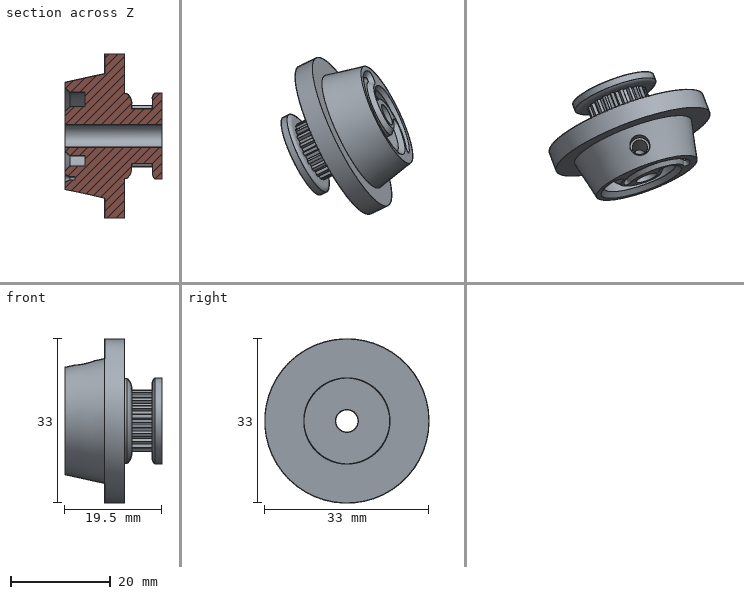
import cadquery as cq
import math

HUB_LENGTH = 8.0
FLANGE_THICKNESS = 4.0
COLLAR_LENGTH = 1.5
BELT_WIDTH = 4.05
RIM_LENGTH = 1.98
FLANGE_START = HUB_LENGTH
FLANGE_END = FLANGE_START + FLANGE_THICKNESS
COLLAR_END = FLANGE_END + COLLAR_LENGTH
BELT_END = COLLAR_END + BELT_WIDTH
RIM_END = BELT_END + RIM_LENGTH

HUB_FACE_RADIUS = 10.8
HUB_BASE_RADIUS = 12.55
FLANGE_RADIUS = 16.5
BORE_RADIUS = 4.5 / 2

COLLAR_RADIUS = 17.1 / 2
COLLAR_ROUND_WIDTH = 1.0
COLLAR_ROUND_RADIUS = 2.8
RIM_RADIUS = 17.32 / 2
RIM_ROUND_WIDTH = 0.6
RIM_ROUND_RADIUS = 1.4

TOOTH_COUNT = 20
TOOTH_TIP_RADIUS = 6.2
TOOTH_ROOT_RADIUS = 5.5
GROOVE_TIP_WIDTH = 1.32
GROOVE_ROOT_WIDTH = 0.7

SCREW_X = HUB_LENGTH / 2
SCREW_RADIUS = 3.0 / 2
SCREW_HEAD_RADIUS = 4.0 / 2
SCREW_HEAD_SEAT_Z = 10.0

AXIS = (0.0, 0.0)
POCKET_OUTER_RADIUS = 8.78
BOSS_RADIUS = 4.0
SWIRL_RADIUS = 6.5
SWIRL_OFFSET = SWIRL_RADIUS - BOSS_RADIUS
POCKET_CHAMFER_DEPTH = 1.0
LARGE_TIP_RADIUS = 0.5
LARGE_BLEND_RADIUS = 5.97
LARGE_DEPTH = 4.0
LARGE_CHAMFER_WIDTH = 1.0
CRESCENT_TURN = 130
CRESCENT_SIDE_CENTRE = (-2.6, 2.3)
CRESCENT_SIDE_RADIUS = 7.0
CRESCENT_TIP_RADIUS = 0.15
CRESCENT_BLEND_RADIUS = 5.0
CRESCENT_DEPTH = 2.0
CRESCENT_CHAMFER_WIDTH = 0.5

CCW = 1
CW = -1


def along(start, target, distance):
    """Point at the given distance from start towards target."""
    span = math.dist(start, target)
    return tuple(s + distance * (t - s) / span for s, t in zip(start, target))


def meeting_point(centre_a, distance_a, centre_b, distance_b, side):
    """Point at set distances from two centres, left (+1) or right (-1) of the line from a to b."""
    span = math.dist(centre_a, centre_b)
    reach = (span**2 + distance_a**2 - distance_b**2) / (2 * span)
    height = side * math.sqrt(distance_a**2 - reach**2)
    ux = (centre_b[0] - centre_a[0]) / span
    uy = (centre_b[1] - centre_a[1]) / span
    return (centre_a[0] + reach * ux - height * uy, centre_a[1] + reach * uy + height * ux)


def touch_point(circle_a, circle_b):
    """Point where two tangent circles touch."""
    small, large = sorted((circle_a, circle_b), key=lambda circle: circle[1])
    return along(large[0], small[0], large[1])


def arc_middle(centre, radius, start, end, turn):
    """Middle of the arc from start to end."""
    start_angle = math.atan2(start[1] - centre[1], start[0] - centre[0])
    end_angle = math.atan2(end[1] - centre[1], end[0] - centre[0])
    sweep = (turn * (end_angle - start_angle)) % (2 * math.pi)
    angle = start_angle + turn * sweep / 2
    return (centre[0] + radius * math.cos(angle), centre[1] + radius * math.sin(angle))


def tangent_loop(sketch, arcs, offset):
    """Close a counter-clockwise loop of tangent arcs (centre, radius, turn), grown by offset."""
    circles = [(centre, radius + turn * offset) for centre, radius, turn in arcs]
    joints = [touch_point(circles[i - 1], circles[i]) for i in range(len(circles))]
    sketch = sketch.moveTo(*joints[0])
    for i, (centre, radius) in enumerate(circles):
        end = joints[(i + 1) % len(joints)]
        sketch = sketch.threePointArc(arc_middle(centre, radius, joints[i], end, arcs[i][2]), end)
    return sketch.close()


def pocket(arcs, depth, chamfer_width):
    """Pocket tool sunk from the hub face, with a chamfered mouth."""
    walls = tangent_loop(cq.Workplane("YZ"), arcs, 0).extrude(depth)
    mouth = tangent_loop(cq.Workplane("YZ"), arcs, chamfer_width)
    mouth = tangent_loop(mouth.workplane(offset=POCKET_CHAMFER_DEPTH), arcs, 0).loft(ruled=True)
    return walls.union(mouth)


def large_pocket():
    upper = (0.0, SWIRL_OFFSET)
    lower = (0.0, -SWIRL_OFFSET)
    tip = LARGE_TIP_RADIUS
    blend = LARGE_BLEND_RADIUS
    outer_tip = meeting_point(AXIS, POCKET_OUTER_RADIUS - tip, upper, SWIRL_RADIUS + tip, CW)
    boss_tip = meeting_point(AXIS, BOSS_RADIUS + tip, lower, SWIRL_RADIUS - tip, CW)
    blend_centre = meeting_point(AXIS, POCKET_OUTER_RADIUS - blend, lower, SWIRL_RADIUS - blend, CW)
    arcs = [
        (AXIS, POCKET_OUTER_RADIUS, CCW),
        (outer_tip, tip, CCW),
        (upper, SWIRL_RADIUS, CW),
        (AXIS, BOSS_RADIUS, CW),
        (boss_tip, tip, CCW),
        (lower, SWIRL_RADIUS, CCW),
        (blend_centre, blend, CCW),
    ]
    return pocket(arcs, LARGE_DEPTH, LARGE_CHAMFER_WIDTH)


def crescent_pocket():
    swirl_angle = math.radians(90 + CRESCENT_TURN)
    swirl = (SWIRL_OFFSET * math.cos(swirl_angle), SWIRL_OFFSET * math.sin(swirl_angle))
    side = CRESCENT_SIDE_CENTRE
    tip = CRESCENT_TIP_RADIUS
    blend = CRESCENT_BLEND_RADIUS
    boss_tip = meeting_point(AXIS, BOSS_RADIUS + tip, side, CRESCENT_SIDE_RADIUS - tip, CW)
    blend_centre = meeting_point(
        AXIS, POCKET_OUTER_RADIUS - blend, side, CRESCENT_SIDE_RADIUS - blend, CW
    )
    outer_tip = meeting_point(AXIS, POCKET_OUTER_RADIUS - tip, swirl, SWIRL_RADIUS + tip, CW)
    arcs = [
        (boss_tip, tip, CCW),
        (side, CRESCENT_SIDE_RADIUS, CCW),
        (blend_centre, blend, CCW),
        (AXIS, POCKET_OUTER_RADIUS, CCW),
        (outer_tip, tip, CCW),
        (swirl, SWIRL_RADIUS, CW),
        (AXIS, BOSS_RADIUS, CW),
    ]
    return pocket(arcs, CRESCENT_DEPTH, CRESCENT_CHAMFER_WIDTH)


def guide_arc(face_x, outward, edge_radius, round_width, round_radius):
    """Start, middle and end of a guide rounding, from the guide's edge in to its belt-side face."""
    edge_angle = math.acos(1 - round_width / round_radius)
    centre_r = edge_radius - round_radius * math.sin(edge_angle)
    points = []
    for angle in (edge_angle, edge_angle / 2, 0):
        x = face_x + outward * round_radius * (math.cos(angle) - 1)
        points.append((x, centre_r + round_radius * math.sin(angle)))
    return points


def turned_body():
    collar_edge, collar_middle, collar_foot = guide_arc(
        COLLAR_END, 1, COLLAR_RADIUS, COLLAR_ROUND_WIDTH, COLLAR_ROUND_RADIUS
    )
    rim_edge, rim_middle, rim_foot = guide_arc(
        BELT_END, -1, RIM_RADIUS, RIM_ROUND_WIDTH, RIM_ROUND_RADIUS
    )
    profile = (
        cq.Workplane("XY")
        .moveTo(0, BORE_RADIUS)
        .lineTo(0, HUB_FACE_RADIUS)
        .lineTo(FLANGE_START, HUB_BASE_RADIUS)
        .lineTo(FLANGE_START, FLANGE_RADIUS)
        .lineTo(FLANGE_END, FLANGE_RADIUS)
        .lineTo(FLANGE_END, COLLAR_RADIUS)
        .lineTo(*collar_edge)
        .threePointArc(collar_middle, collar_foot)
        .lineTo(COLLAR_END, TOOTH_TIP_RADIUS)
        .lineTo(BELT_END, TOOTH_TIP_RADIUS)
        .lineTo(*rim_foot)
        .threePointArc(rim_middle, rim_edge)
        .lineTo(RIM_END, RIM_RADIUS)
        .lineTo(RIM_END, BORE_RADIUS)
        .close()
    )
    return profile.revolve(360, (0, 0, 0), (1, 0, 0))


def tooth_grooves():
    """Trapezoidal grooves between the belt teeth, the first one facing -Y."""
    flank_slope = (GROOVE_TIP_WIDTH - GROOVE_ROOT_WIDTH) / (TOOTH_TIP_RADIUS - TOOTH_ROOT_RADIUS)
    mouth_radius = (TOOTH_TIP_RADIUS + COLLAR_RADIUS) / 2
    mouth_width = GROOVE_TIP_WIDTH + flank_slope * (mouth_radius - TOOTH_TIP_RADIUS)
    groove = (
        cq.Workplane("YZ", origin=(COLLAR_END, 0, 0))
        .moveTo(-TOOTH_ROOT_RADIUS, -GROOVE_ROOT_WIDTH / 2)
        .lineTo(-mouth_radius, -mouth_width / 2)
        .lineTo(-mouth_radius, mouth_width / 2)
        .lineTo(-TOOTH_ROOT_RADIUS, GROOVE_ROOT_WIDTH / 2)
        .close()
        .extrude(BELT_WIDTH)
    )
    pitch = 360 / TOOTH_COUNT
    grooves = cq.Workplane("YZ")
    for i in range(TOOTH_COUNT):
        grooves = grooves.add(groove.rotate((0, 0, 0), (1, 0, 0), i * pitch))
    return grooves.combine()


def screw_hole():
    """Hole from the bore out through the hub, with a wider seat for the screw head."""
    shank = cq.Workplane("XY", origin=(SCREW_X, 0, 0)).circle(SCREW_RADIUS).extrude(HUB_BASE_RADIUS)
    head = (
        cq.Workplane("XY", origin=(SCREW_X, 0, SCREW_HEAD_SEAT_Z))
        .circle(SCREW_HEAD_RADIUS)
        .extrude(HUB_BASE_RADIUS - SCREW_HEAD_SEAT_Z)
    )
    return shank.union(head)


result = (
    turned_body()
    .cut(tooth_grooves())
    .cut(large_pocket())
    .cut(crescent_pocket())
    .cut(screw_hole())
)